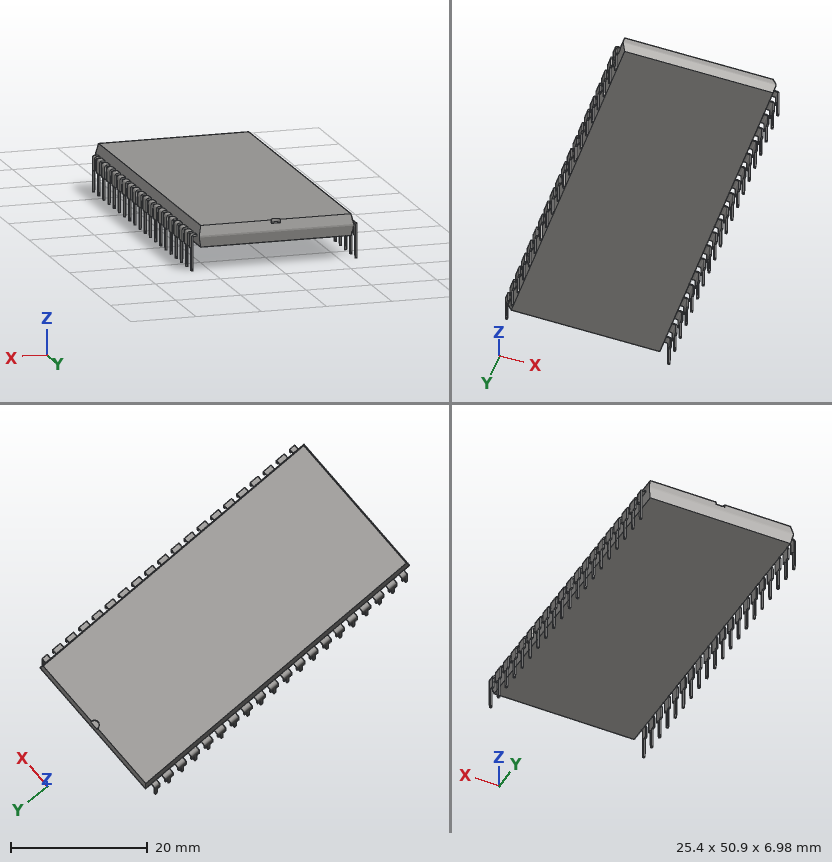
import cadquery as cq
import math

BODY_WIDTH = 23.7
BODY_LENGTH = 50.92
BODY_HEIGHT = 3.3
STANDOFF = 0.38
DRAFT_INSET = 0.34

NOTCH_RADIUS = 0.7
NOTCH_DEPTH = 0.5

LEAD_COUNT_PER_SIDE = 20
LEAD_PITCH = 2.54
LEAD_SPAN = 25.4
LEAD_THICKNESS = 0.25
SHOULDER_WIDTH = 1.52
PIN_WIDTH = 0.46
PIN_LENGTH = 3.3
TIP_HEIGHT = 0.6
TIP_WIDTH = 0.3
BEND_RADIUS = 0.42
LEAD_EMBED = 0.5

BODY_TOP = STANDOFF + BODY_HEIGHT
BAND_HEIGHT = LEAD_THICKNESS
BAND_BOTTOM = STANDOFF + (BODY_HEIGHT - BAND_HEIGHT) / 2
BAND_TOP = BAND_BOTTOM + BAND_HEIGHT
DRAFT_HEIGHT = (BODY_HEIGHT - BAND_HEIGHT) / 2
DRAFT_ANGLE = math.degrees(math.atan2(DRAFT_INSET, DRAFT_HEIGHT))


def body_section(base_z):
    """Full body rectangle on a horizontal plane."""
    return cq.Workplane("XY", origin=(0, 0, base_z)).rect(BODY_WIDTH, BODY_LENGTH)


def make_body():
    """Straight parting band with drafted halves above and below it."""
    band = body_section(BAND_BOTTOM).extrude(BAND_HEIGHT)
    upper = body_section(BAND_TOP).extrude(DRAFT_HEIGHT, taper=DRAFT_ANGLE)
    lower = body_section(BAND_BOTTOM).extrude(-DRAFT_HEIGHT, taper=DRAFT_ANGLE)
    return band.union(upper).union(lower)


def make_notch():
    """Round index notch centred on the +Y edge of the top face."""
    top_edge_y = BODY_LENGTH / 2 - DRAFT_INSET
    floor_z = BODY_TOP - NOTCH_DEPTH
    return (
        cq.Workplane("XY", origin=(0, top_edge_y, floor_z))
        .circle(NOTCH_RADIUS)
        .extrude(NOTCH_DEPTH)
    )


def bent_strip():
    """Lead profile in XZ for the +X side, extruded over the full shoulder width."""
    outer_x = LEAD_SPAN / 2
    inner_x = outer_x - LEAD_THICKNESS
    root_x = BODY_WIDTH / 2 - LEAD_EMBED
    bend_x = outer_x - BEND_RADIUS
    bend_z = BAND_TOP - BEND_RADIUS
    inner_radius = BEND_RADIUS - LEAD_THICKNESS
    return (
        cq.Workplane("XZ")
        .moveTo(root_x, BAND_TOP)
        .lineTo(bend_x, BAND_TOP)
        .radiusArc((outer_x, bend_z), BEND_RADIUS)
        .lineTo(outer_x, -PIN_LENGTH)
        .lineTo(inner_x, -PIN_LENGTH)
        .lineTo(inner_x, bend_z)
        .radiusArc((bend_x, BAND_BOTTOM), -inner_radius)
        .lineTo(root_x, BAND_BOTTOM)
        .close()
        .extrude(SHOULDER_WIDTH / 2, both=True)
    )


def shoulder_silhouette(left_half, right_half):
    """Wide part of the lead, from the seating plane up to the top of the leads."""
    width = left_half + right_half
    return (
        cq.Workplane("XY")
        .box(LEAD_SPAN / 2, width, BAND_TOP, centered=False)
        .translate((0, -left_half, 0))
    )


def pin_silhouette():
    """Narrow pin with a tapered tip, below the seating plane."""
    outline = [
        (-PIN_WIDTH / 2, 0),
        (-PIN_WIDTH / 2, TIP_HEIGHT - PIN_LENGTH),
        (-TIP_WIDTH / 2, -PIN_LENGTH),
        (TIP_WIDTH / 2, -PIN_LENGTH),
        (PIN_WIDTH / 2, TIP_HEIGHT - PIN_LENGTH),
        (PIN_WIDTH / 2, 0),
    ]
    return cq.Workplane("YZ").polyline(outline).close().extrude(LEAD_SPAN / 2)


def make_lead(left_half, right_half):
    """One +X side lead, its pin centred on Y = 0."""
    silhouette = shoulder_silhouette(left_half, right_half).union(pin_silhouette())
    return bent_strip().intersect(silhouette)


def make_leads():
    """Both rows; the end leads have a shoulder on their inner side only."""
    wide = SHOULDER_WIDTH / 2
    narrow = PIN_WIDTH / 2
    last = LEAD_COUNT_PER_SIDE - 1
    leads = []
    for index in range(LEAD_COUNT_PER_SIDE):
        left = narrow if index == 0 else wide
        right = narrow if index == last else wide
        y = (index - last / 2) * LEAD_PITCH
        lead = make_lead(left, right).translate((0, y, 0))
        leads.append(lead.val())
        leads.append(lead.mirror("YZ").val())
    return leads


def make_part():
    """Notched body fused with all its leads."""
    body = make_body().cut(make_notch())
    fused = body.val().fuse(*make_leads())
    return cq.Workplane(fused).solids()


result = make_part()